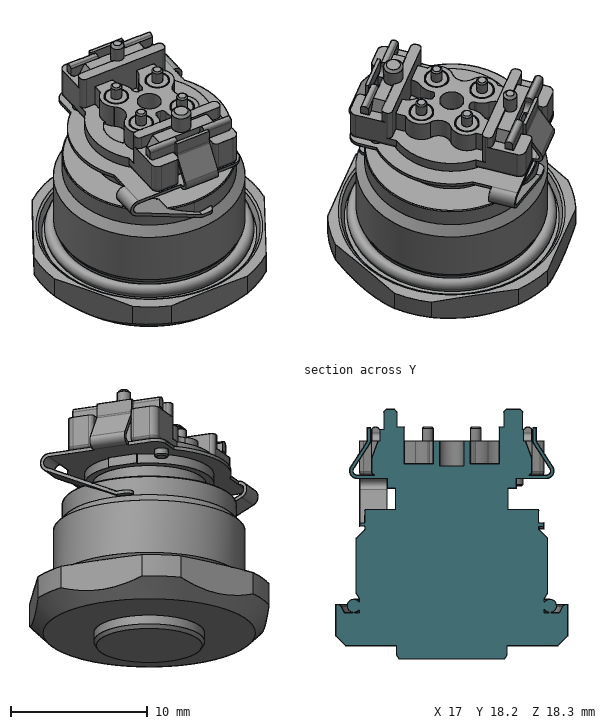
import cadquery as cq
import math

plug_chamfer_top = 0.3
nut_bottom = 0.97
nut_top = 4.0
body_bottom = 4.4
body_chamfer_top = 4.81
shoulder_bottom = 8.85
shoulder_top = 9.5
collar_top = 10.96
flange_bottom = 12.5
plate_bottom = 13.21
sheet = 0.25
plate_top = plate_bottom + sheet
flange_top = 14.31
block_top = 15.98
bridge_top = 16.82
wall_top = 17.0
total_height = 18.3

nut_flats = 17.0
nut_diameter = 18.2
nut_radius = nut_diameter / 2
nut_bottom_radius = 7.78
nut_crown_drop = 0.064
nut_overlap = 0.37

seal_ring_radius = 7.2
seal_section_radius = 0.5
seal_center_height = body_bottom - seal_section_radius
groove_floor = seal_center_height - seal_section_radius
groove_lip_radius = 8.3
groove_wall_top_radius = 8.13
groove_wall_bottom_radius = 7.87
groove_lip_depth = 0.11

plug_radius = 4.06
plug_chamfer = 0.18
body_radius = 7.03
body_foot_radius = 6.77
collar_radius = 6.39
collar_chamfer = 0.07
neck_radius = 4.15
flange_radius = 4.74
flange_key_width = 2.25

pin_offset = 1.75
pin_radius = 0.4
pin_chamfer = 0.11
pin_boss_radius = 1.25
pin_groove_radius = 0.9
pin_groove_width = 0.07
pin_groove_depth = 0.18
center_hole_radius = 0.88
center_hole_depth = 1.83
insert_half_width = 2.53
dip_height = 2.12
slot_mouth_half = 1.02
slot_clearance_radius = 1.37
slot_tip = 1.37
slot_tip_radius = 0.27
pocket_radius = 2.16
pocket_edge = 3.57
pocket_width = 2.7
pocket_depth = 0.18
insert_bottom = flange_top - pocket_depth

block_outer = 6.77
block_half_length = 3.6
block_corner_radius = 0.53
block_bottom_fillet = 0.25
block_foot_inner = 3.02
wall_inner = 3.48
wall_thickness = 0.8
wall_outer = wall_inner + wall_thickness
wall_corner_radius = 0.33
recess_half_width = 1.5
recess_corner_radius = 0.31
ridge_outer = 5.87
ridge_inner = 5.27
ridge_half_length = 3.5
ridge_foot_chamfer = 0.22
ridge_round_radius = 0.3
ridge_bevel = 0.13
ridge_notch_half = 1.13
ridge_notch_fillet = 0.57
ramp_depth = 1.28
bridge_foot_half = 2.82
bridge_top_half = 2.32

post_offset = 4.5
small_post_radius = 0.5
large_post_radius = 0.71
post_chamfer = 0.2
peg_x = 4.72
peg_y = 3.11
peg_radius = 0.51
peg_bottom = 12.68
peg_chamfer = 0.11

plate_half_width = 6.75
plate_radius = 6.0
plate_leg_edge = 5.01
plate_short_edge = 4.0
plate_corner_radius = 0.88
leg_width = 2.01
leg_bend_radius = 0.68
leg_angle = math.radians(25)
leg_tip_bottom = 9.53
leg_tip_end = -1.54
leg_tip_radius = 0.5
clip_half_width = 1.39
clip_reach = 7.48
clip_bend_radius = 0.57
clip_angle = math.radians(33)
clip_tab_outer = 6.2
clip_kink_radius = 0.24
clip_tab_top = 16.95


def box(x0, x1, y0, y1, z0, z1):
    """Axis-aligned box between two opposite corners."""
    return cq.Workplane("XY").box(x1 - x0, y1 - y0, z1 - z0, centered=False).translate((x0, y0, z0))


def cylinder(x, y, radius, z0, z1):
    """Upright cylinder between two levels."""
    return cq.Workplane("XY", origin=(x, y, z0)).circle(radius).extrude(z1 - z0)


def revolved(points):
    """Solid of revolution about Z from (radius, height) points."""
    return cq.Workplane("XZ").polyline(points).close().revolve(360, (0, 0, 0), (0, 1, 0))


def with_opposite(part):
    """The part together with its copy turned half a turn about Z."""
    return part.union(part.rotate((0, 0, 0), (0, 0, 1), 180))


def make_nut():
    hexagon = (
        cq.Workplane("XY", origin=(0, 0, nut_bottom))
        .polygon(6, nut_flats, circumscribed=True)
        .extrude(nut_top - nut_bottom)
    )
    chamfer_top = nut_bottom + nut_radius - nut_bottom_radius
    turned = revolved([
        (0, nut_bottom),
        (nut_bottom_radius, nut_bottom),
        (nut_radius, chamfer_top),
        (nut_radius, nut_top - nut_crown_drop),
        (groove_lip_radius, nut_top),
        (0, nut_top),
    ])
    groove = revolved([
        (body_foot_radius - nut_overlap, groove_floor),
        (groove_wall_bottom_radius, groove_floor),
        (groove_wall_top_radius, nut_top - groove_lip_depth),
        (groove_lip_radius, nut_top),
        (body_foot_radius - nut_overlap, nut_top),
    ])
    return hexagon.intersect(turned).cut(groove)


def make_seal():
    return (
        cq.Workplane("XZ")
        .center(seal_ring_radius, seal_center_height)
        .circle(seal_section_radius)
        .revolve(360, (-seal_ring_radius, 0, 0), (-seal_ring_radius, 1, 0))
    )


def make_body():
    body = revolved([
        (0, 0),
        (plug_radius - plug_chamfer, 0),
        (plug_radius, plug_chamfer_top),
        (plug_radius, nut_bottom + nut_overlap),
        (body_foot_radius, nut_bottom + nut_overlap),
        (body_foot_radius, body_bottom),
        (body_radius, body_chamfer_top),
        (body_radius, shoulder_bottom),
        (collar_radius, shoulder_top),
        (collar_radius, collar_top - collar_chamfer),
        (collar_radius - collar_chamfer, collar_top),
        (neck_radius, collar_top),
        (neck_radius, flange_bottom),
        (flange_radius, flange_bottom),
        (flange_radius, flange_top),
        (0, flange_top),
    ])
    half_key = flange_key_width / 2
    keys = box(-flange_radius, flange_radius, -half_key, half_key, flange_bottom, flange_top)
    return body.union(keys)


def side_slot():
    """Flared slot that runs from the +X wall towards the center hole."""
    reach = wall_inner - pin_offset
    rise = pin_offset - slot_mouth_half
    flare = (reach**2 + rise**2 - slot_clearance_radius**2) / (2 * (slot_clearance_radius - rise))
    flare_y = slot_mouth_half - flare
    share = slot_clearance_radius / (slot_clearance_radius + flare)
    meet = (pin_offset + share * reach, pin_offset + share * (flare_y - pin_offset))
    half_turn = math.asin((wall_inner - meet[0]) / flare) / 2
    flare_mid = (wall_inner - flare * math.sin(half_turn), flare_y + flare * math.cos(half_turn))
    half_turn = math.asin((meet[0] - pin_offset) / slot_clearance_radius) / 2
    clearance_mid = (
        pin_offset + slot_clearance_radius * math.sin(half_turn),
        pin_offset - slot_clearance_radius * math.cos(half_turn),
    )
    neck_half = pin_offset - slot_clearance_radius
    upper = (
        cq.Workplane("XY", origin=(0, 0, flange_top))
        .moveTo(slot_tip, 0)
        .lineTo(slot_tip, neck_half)
        .lineTo(pin_offset, neck_half)
        .threePointArc(clearance_mid, meet)
        .threePointArc(flare_mid, (wall_inner, slot_mouth_half))
        .lineTo(wall_inner, 0)
        .close()
        .extrude(block_top - flange_top)
    )
    slot = upper.union(upper.mirror("XZ"))
    return slot.edges("|Z and <X").fillet(slot_tip_radius)


def make_insert():
    insert = box(-wall_inner, wall_inner, -insert_half_width, insert_half_width, insert_bottom, block_top)
    pin_spots = [(x, y) for x in (-pin_offset, pin_offset) for y in (-pin_offset, pin_offset)]
    for x, y in pin_spots:
        insert = insert.union(cylinder(x, y, pin_boss_radius, insert_bottom, block_top))

    dip_center = (pin_offset**2 + pin_offset**2 - (pin_boss_radius - dip_height) ** 2) / (
        2 * (pin_offset + pin_boss_radius - dip_height)
    )
    dip_radius = dip_center - dip_height
    for y in (-dip_center, dip_center):
        insert = insert.cut(cylinder(0, y, dip_radius, insert_bottom, block_top))

    insert = insert.cut(with_opposite(side_slot()))
    for x, y in pin_spots:
        ring = (
            cq.Workplane("XY", origin=(x, y, block_top - pin_groove_depth))
            .circle(pin_groove_radius)
            .circle(pin_groove_radius - pin_groove_width)
            .extrude(pin_groove_depth)
        )
        pin = cylinder(x, y, pin_radius, insert_bottom, wall_top).faces(">Z").chamfer(pin_chamfer)
        insert = insert.cut(ring).union(pin)
    return insert


def make_pocket():
    """Shallow pocket in the flange, in front of the insert."""
    disc = cylinder(0, pocket_radius - pocket_edge, pocket_radius, insert_bottom, flange_top)
    half = pocket_width / 2
    return disc.intersect(box(-half, half, -pocket_edge, -pin_offset, insert_bottom, flange_top))


def make_ridge():
    """Round-topped ridge with a notch in the middle, on the +X block."""
    inset = ridge_half_length - ridge_foot_chamfer
    foot_top = block_top + ridge_foot_chamfer
    ridge = (
        cq.Workplane("YZ", origin=(ridge_inner, 0, 0))
        .polyline([
            (-inset, block_top),
            (inset, block_top),
            (ridge_half_length, foot_top),
            (ridge_half_length, wall_top),
            (-ridge_half_length, wall_top),
            (-ridge_half_length, foot_top),
        ])
        .close()
        .extrude(ridge_outer - ridge_inner)
    )
    round_x = ridge_outer - ridge_round_radius
    round_z = wall_top - ridge_round_radius
    bevel_x = ridge_inner + ridge_bevel
    bevel_z = round_z + math.sqrt(ridge_round_radius**2 - (round_x - bevel_x) ** 2)
    section = (
        cq.Workplane("XZ", origin=(0, ridge_half_length, 0))
        .moveTo(ridge_inner, block_top)
        .lineTo(ridge_outer, block_top)
        .lineTo(ridge_outer, round_z)
        .threePointArc((round_x, wall_top), (bevel_x, bevel_z))
        .lineTo(ridge_inner, bevel_z - ridge_bevel)
        .close()
        .extrude(2 * ridge_half_length)
    )
    ridge = ridge.intersect(section)
    notch = box(ridge_inner, ridge_outer, -ridge_notch_half, ridge_notch_half, block_top, wall_top)
    notch = notch.edges("|X and <Z").fillet(ridge_notch_fillet)
    return ridge.cut(notch)


def make_ramp():
    """Steep ramp cut into the +X block below the flat floor of the ridge notch."""
    half = ridge_notch_half - ridge_notch_fillet
    return (
        cq.Workplane("XZ", origin=(0, half, 0))
        .polyline([
            (ridge_inner + ridge_bevel, block_top),
            (ridge_outer, block_top),
            (ridge_outer, block_top - ramp_depth),
        ])
        .close()
        .extrude(2 * half)
    )


def make_block():
    """Block on the +X side with its partition wall, bridge and ridge."""
    wall_middle = (wall_inner + wall_outer) / 2
    foot = box(block_foot_inner, block_outer, -block_half_length, block_half_length, plate_top, flange_top)
    upper = box(wall_middle, block_outer, -block_half_length, block_half_length, flange_top, block_top)
    recess = box(ridge_outer, block_outer, -recess_half_width, recess_half_width, plate_top, block_top)
    block = foot.union(upper).edges("|Z and >X").fillet(block_corner_radius)
    block = block.cut(recess).edges("|Z and >X").fillet(recess_corner_radius)
    rim = cq.selectors.BoxSelector(
        (block_foot_inner + sheet, -block_outer, plate_top - sheet),
        (block_outer + sheet, block_outer, plate_top + sheet),
    )
    block = block.edges(rim).fillet(block_bottom_fillet)

    wall = box(wall_inner, wall_outer, -block_half_length, block_half_length, flange_top, wall_top)
    wall = wall.edges("|Z").fillet(wall_corner_radius)
    bridge = (
        cq.Workplane("YZ", origin=(wall_middle, 0, 0))
        .polyline([
            (-bridge_foot_half, block_top),
            (bridge_foot_half, block_top),
            (bridge_top_half, bridge_top),
            (-bridge_top_half, bridge_top),
        ])
        .close()
        .extrude(ridge_inner - wall_middle)
    )
    peg = cylinder(peg_x, peg_y, peg_radius, peg_bottom, plate_top + block_bottom_fillet)
    peg = peg.faces("<Z").chamfer(peg_chamfer)
    block = block.cut(make_ramp())
    return block.union(wall).union(bridge).union(make_ridge()).union(peg)


def make_post(x, radius):
    post = cylinder(x, 0, radius, block_top, total_height)
    return post.faces(">Z").chamfer(post_chamfer)


def make_plate():
    """Flat part of the spring: a disc with two straight-edged wings."""
    disc = cylinder(0, 0, plate_radius, plate_bottom, plate_top)
    disc = disc.intersect(
        box(-plate_half_width, plate_half_width, -plate_radius, plate_radius, plate_bottom, plate_top)
    )
    wing = box(0, plate_half_width, -plate_leg_edge, plate_short_edge, plate_bottom, plate_top)
    wing = wing.edges("|Z and >X and >Y").fillet(plate_corner_radius)
    short_start = math.sqrt(plate_radius**2 - plate_short_edge**2)
    corner = box(short_start, plate_radius, plate_short_edge, plate_radius, plate_bottom, plate_top)
    return disc.union(with_opposite(wing)).cut(with_opposite(corner))


def make_leg():
    """Spring leg at -X: folds down from the +Y edge of the plate and slopes towards -Y."""
    sin_a = math.sin(leg_angle)
    cos_a = math.cos(leg_angle)
    center_z = plate_top - leg_bend_radius
    inner_radius = leg_bend_radius - sheet
    tip_top = leg_tip_bottom + sheet

    def slope_start(radius):
        return (plate_leg_edge + radius * sin_a, center_z - radius * cos_a)

    def slope_end(radius, z):
        y_start, z_start = slope_start(radius)
        return (y_start - (z_start - z) / math.tan(leg_angle), z)

    leg = (
        cq.Workplane("YZ", origin=(-plate_half_width, 0, 0))
        .moveTo(plate_leg_edge, plate_top)
        .threePointArc((plate_leg_edge + leg_bend_radius, center_z), slope_start(leg_bend_radius))
        .lineTo(*slope_end(leg_bend_radius, leg_tip_bottom))
        .lineTo(leg_tip_end, leg_tip_bottom)
        .lineTo(leg_tip_end, tip_top)
        .lineTo(*slope_end(inner_radius, tip_top))
        .lineTo(*slope_start(inner_radius))
        .threePointArc((plate_leg_edge + inner_radius, center_z), (plate_leg_edge, plate_bottom))
        .close()
        .extrude(leg_width)
    )
    return leg.edges("|Z and <Y").fillet(leg_tip_radius)


def make_clip():
    """Spring clip at +X: loops out from the plate and back up against the block."""
    sin_a = math.sin(clip_angle)
    cos_a = math.cos(clip_angle)
    center_x = clip_reach - clip_bend_radius
    center_z = plate_bottom + clip_bend_radius
    inner_radius = clip_bend_radius - sheet

    def on_bend(radius, angle):
        return (center_x + radius * math.cos(angle), center_z + radius * math.sin(angle))

    def lean_end(radius, x):
        x_start, z_start = on_bend(radius, clip_angle)
        return (x, z_start + (x_start - x) * cos_a / sin_a)

    middle = (clip_angle - math.pi / 2) / 2
    tab_inner = clip_tab_outer - sheet
    clip = (
        cq.Workplane("XZ", origin=(0, clip_half_width, 0))
        .moveTo(flange_radius, plate_bottom)
        .lineTo(center_x, plate_bottom)
        .threePointArc(on_bend(clip_bend_radius, middle), on_bend(clip_bend_radius, clip_angle))
        .lineTo(*lean_end(clip_bend_radius, clip_tab_outer))
        .lineTo(clip_tab_outer, clip_tab_top)
        .lineTo(tab_inner, clip_tab_top)
        .lineTo(*lean_end(inner_radius, tab_inner))
        .lineTo(*on_bend(inner_radius, clip_angle))
        .threePointArc(on_bend(inner_radius, middle), (center_x, plate_top))
        .lineTo(flange_radius, plate_top)
        .close()
        .extrude(2 * clip_half_width)
    )
    kink = cq.selectors.BoxSelector(
        (tab_inner - sheet, -clip_half_width, block_top - sheet),
        (clip_tab_outer + sheet, clip_half_width, block_top + sheet),
    )
    return clip.edges("|Y").edges(kink).fillet(clip_kink_radius)


result = make_body().cut(make_pocket()).union(make_nut()).union(make_seal())
result = result.union(make_plate())
for half in (make_leg(), make_clip(), make_block()):
    result = result.union(with_opposite(half))
result = result.union(make_insert())
result = result.cut(cylinder(0, 0, center_hole_radius, block_top - center_hole_depth, block_top))
result = result.union(make_post(-post_offset, small_post_radius))
result = result.union(make_post(post_offset, large_post_radius))